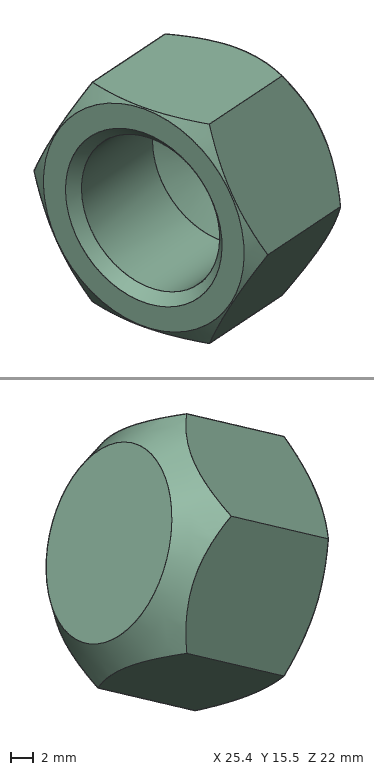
import cadquery as cq
import math

across_flats = 22.0
length = 15.5
hexagon_sides = 6
across_corners = across_flats / math.cos(math.pi / hexagon_sides)
corner_radius = across_corners / 2

open_face_diameter = 21.8
open_chamfer_angle = 30.0
closed_face_diameter = 18.0
closed_chamfer_angle = 45.0
blank_clearance = 1.0

bore_diameter = 15.0
mouth_diameter = 17.0
mouth_chamfer_angle = 45.0
bore_depth = 11.5
drill_point_angle = 135.0


def cone_height(outer_radius, inner_radius, angle_from_face):
    """Axial length of a cone between two radii."""
    return (outer_radius - inner_radius) * math.tan(math.radians(angle_from_face))


def revolve_about_y(points):
    """Turn a closed (Y, radius) outline about the Y axis."""
    return cq.Workplane("YZ").polyline(points).close().revolve(360, (0, 0, 0), (1, 0, 0))


def hexagon():
    """Hexagonal bar with corners on the X axis, running from Y = 0 to its length."""
    return cq.Workplane("XZ").polygon(hexagon_sides, across_corners).extrude(-length)


def turned_envelope():
    """Round blank whose conical ends cut the corner chamfers."""
    blank_radius = corner_radius + blank_clearance
    open_radius = open_face_diameter / 2
    closed_radius = closed_face_diameter / 2
    open_height = cone_height(blank_radius, open_radius, open_chamfer_angle)
    closed_height = cone_height(blank_radius, closed_radius, closed_chamfer_angle)
    return revolve_about_y([
        (0, 0),
        (0, open_radius),
        (open_height, blank_radius),
        (length - closed_height, blank_radius),
        (length, closed_radius),
        (length, 0),
    ])


def blind_bore():
    """Material removed by the bore, its mouth chamfer and its drill point."""
    bore_radius = bore_diameter / 2
    mouth_radius = mouth_diameter / 2
    mouth_depth = cone_height(mouth_radius, bore_radius, mouth_chamfer_angle)
    point_depth = bore_radius / math.tan(math.radians(drill_point_angle / 2))
    return revolve_about_y([
        (0, 0),
        (0, mouth_radius),
        (mouth_depth, bore_radius),
        (bore_depth, bore_radius),
        (bore_depth + point_depth, 0),
    ])


result = hexagon().intersect(turned_envelope()).cut(blind_bore())